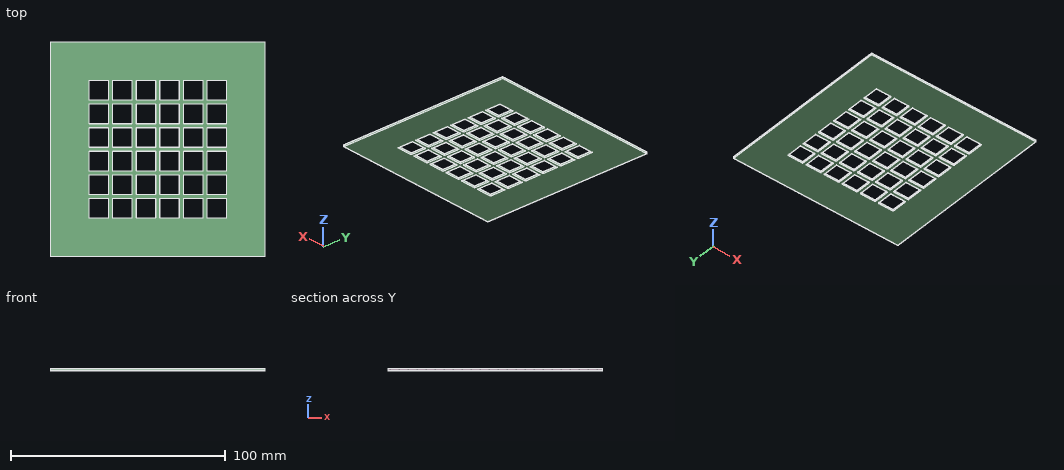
import cadquery as cq

plate_side = 100.0
plate_thickness = 1.0

openings_per_side = 6
opening_side = 9.0
bar_width = 2.0
opening_pitch = opening_side + bar_width

plate = cq.Workplane("XY").box(plate_side, plate_side, plate_thickness)

result = (
    plate.faces(">Z")
    .workplane()
    .rarray(opening_pitch, opening_pitch, openings_per_side, openings_per_side)
    .rect(opening_side, opening_side)
    .cutThruAll()
)